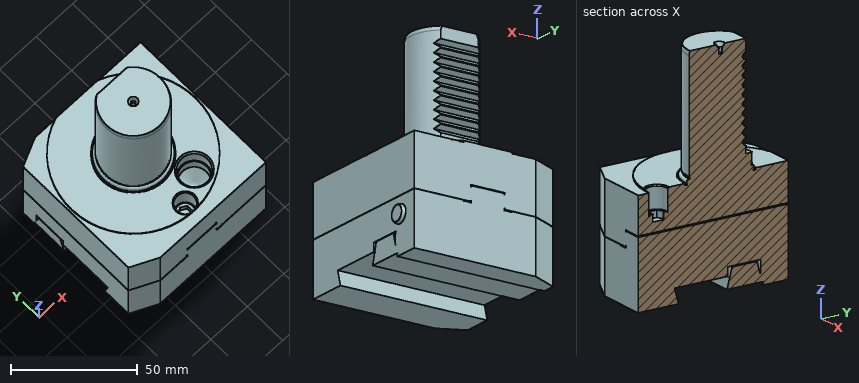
import cadquery as cq
import math


block_left, block_right = -35.0, 35.1
block_front, block_back = -39.0, 32.0
block_top = 49.4
corner_length = 12.1
corner_width = 5.7
block_length = block_right - block_left
block_width = block_back - block_front

disc_radius = 34.0
disc_top = 50.0

overall_height = 105
shank_radius = 15.0
shank_chamfer_height = 1.9
shank_chamfer_inset = 0.4
neck_radius = 14.6
neck_bottom = 48.3
neck_top = 52.3
flat_y = 12.1
flat_bottom = 56.8
tooth_count = 10
tooth_pitch = 4.0
tooth_depth = 1.8
lowest_tooth_z = 61.7

centre_radius = 2.1
centre_pilot_radius = 1.0
centre_cone_depth = (centre_radius - centre_pilot_radius) / math.tan(math.radians(30))
centre_pilot_depth = 4.2

recess_radius = 16.7
recess_depth = 0.8
ring_section_radius = 1.2
ring_outer_radius = 16.2
ring_z = 50.2

port_x, port_y = 12.4, -21.7
port_radius = 7.0
port_chamfer = 0.7
port_step_depth = 7.8
port_core_radius = 6.6
port_depth = 13.7
drill_half_angle = math.radians(60)

screw_y = -29.4
screw_hole_radius = 4.5
screw_chamfer = 0.5
screw_depth = 10.0
socket_across_flats = 5.0
socket_depth = 3.2

joint_z = 25.0
joint_gap = 0.1
tongue_width = 16.0
tongue_top = 31.8
tongue_gap = 0.3
tongue_corner = 0.4
tongue_relief_width = 3.4
tongue_relief_depth = 0.3

dovetail_slope = math.tan(math.radians(15))
channel_depth = 6.9
channel_front, channel_back = -19.6, 20.3
pocket_front, pocket_back = 3.7, 18.8
pocket_depth = 10.9
wedge_bottom, wedge_top = 1.5, 10.7
wedge_front = 2.9

button_y, button_z = 21.9, 17.3
button_radius = 4.1
button_tip_radius = 3.5
button_height = 1.6
button_rim_radius = 2.3


def bar_along_x(points):
    """Prism over the whole block length from a (y, z) outline."""
    return cq.Workplane("YZ", origin=(block_left, 0, 0)).polyline(points).close().extrude(block_length)


def bar_along_y(points):
    """Prism over the whole block width from an (x, z) outline."""
    return cq.Workplane("XZ", origin=(0, block_back, 0)).polyline(points).close().extrude(block_width)


def turned(points):
    """Solid of revolution about Z from an (r, z) outline."""
    return cq.Workplane("XZ").polyline(points).close().revolve(360, (0, 0, 0), (0, 1, 0))


def make_block():
    outline = [
        (block_left + corner_length, block_front),
        (block_right, block_front),
        (block_right, block_back),
        (block_left + corner_length, block_back),
        (block_left, block_back - corner_width),
        (block_left, block_front + corner_width),
    ]
    block = cq.Workplane("XY").polyline(outline).close().extrude(block_top)
    disc = cq.Workplane("XY").circle(disc_radius).extrude(disc_top)
    behind_block = cq.Workplane("XY").box(
        2 * disc_radius, disc_radius, 2 * disc_top, centered=(True, False, True)
    ).translate((0, block_back, 0))
    return block.union(disc.cut(behind_block))


def make_shank():
    shank = turned([
        (0, neck_bottom),
        (neck_radius, neck_bottom),
        (neck_radius, neck_top),
        (shank_radius, neck_top),
        (shank_radius, overall_height - shank_chamfer_height),
        (shank_radius - shank_chamfer_inset, overall_height),
        (0, overall_height),
    ])
    flat = cq.Workplane("XY").box(
        2 * shank_radius, shank_radius, overall_height, centered=(True, False, False)
    ).translate((0, flat_y, flat_bottom))
    shank = shank.cut(flat)
    for index in range(tooth_count):
        z = lowest_tooth_z + index * tooth_pitch
        shank = shank.cut(bar_along_x([
            (flat_y - tooth_depth, z),
            (flat_y, z + tooth_depth),
            (shank_radius, z + tooth_depth),
            (shank_radius, z - tooth_depth),
            (flat_y, z - tooth_depth),
        ]))
    return shank.cut(make_centre_drilling())


def make_centre_drilling():
    pilot_end = overall_height - centre_pilot_depth
    return turned([
        (0, overall_height),
        (centre_radius, overall_height),
        (centre_pilot_radius, overall_height - centre_cone_depth),
        (centre_pilot_radius, pilot_end),
        (0, pilot_end - centre_pilot_radius / math.tan(drill_half_angle)),
    ])


def make_ring():
    centre = ring_outer_radius - ring_section_radius
    section = cq.Workplane("XZ").center(centre, ring_z).circle(ring_section_radius)
    return section.revolve(360, (-centre, 0, 0), (-centre, 1, 0))


def make_ring_recess():
    floor = disc_top - recess_depth
    return cq.Workplane("XY", origin=(0, 0, floor)).circle(recess_radius).extrude(recess_depth)


def make_port():
    step = disc_top - port_step_depth
    shoulder = disc_top - port_depth
    point = shoulder - port_core_radius / math.tan(drill_half_angle)
    return turned([
        (0, disc_top),
        (port_radius + port_chamfer, disc_top),
        (port_radius, disc_top - port_chamfer),
        (port_radius, step),
        (port_core_radius, step),
        (port_core_radius, shoulder),
        (0, point),
    ]).translate((port_x, port_y, 0))


def make_screw_hole():
    screw_top = disc_top - screw_depth
    hole = turned([
        (0, disc_top),
        (screw_hole_radius + screw_chamfer, disc_top),
        (screw_hole_radius, disc_top - screw_chamfer),
        (screw_hole_radius, screw_top - screw_chamfer),
        (screw_hole_radius - screw_chamfer, screw_top),
        (0, screw_top),
    ])
    across_corners = socket_across_flats / math.cos(math.radians(30))
    socket = (
        cq.Workplane("XY")
        .polygon(6, across_corners)
        .extrude(-socket_depth)
        .rotate((0, 0, 0), (0, 0, 1), 30)
        .translate((0, 0, screw_top))
    )
    return hole.union(socket).translate((0, screw_y, 0))


def make_joint():
    """Clearances between the halves; they stay connected along the tongue sides."""
    half = tongue_width / 2
    crown = tongue_top + tongue_gap
    cuts = bar_along_y([
        (-half, tongue_top - tongue_corner),
        (-half, crown),
        (half, crown),
        (half, tongue_top - tongue_corner),
        (half - tongue_corner, tongue_top),
        (tongue_corner - half, tongue_top),
    ])
    for side, edge in ((-1, block_left), (1, block_right)):
        relief_end = half + tongue_relief_width
        cuts = cuts.union(bar_along_y([
            (edge, joint_z),
            (edge, joint_z + joint_gap),
            (side * (half + tongue_corner), joint_z + joint_gap),
            (side * half, joint_z + joint_gap + tongue_corner),
            (side * half, joint_z - tongue_relief_depth),
            (side * relief_end, joint_z - tongue_relief_depth),
            (side * relief_end, joint_z),
        ]))
    return cuts


def make_channel():
    """Dovetail channel with a deeper wedge pocket along its +Y side."""
    return bar_along_x([
        (channel_front, 0),
        (channel_front - channel_depth * dovetail_slope, channel_depth),
        (pocket_front, channel_depth),
        (pocket_front, pocket_depth),
        (pocket_back, pocket_depth),
        (pocket_back, (channel_back - pocket_back) / dovetail_slope),
        (channel_back, 0),
    ])


def make_wedge():
    """Clamping wedge resting against the sloped +Y wall of the channel."""
    taper = (wedge_top - wedge_bottom) * dovetail_slope
    wedge_back = channel_back - wedge_bottom * dovetail_slope
    return bar_along_x([
        (wedge_front, wedge_bottom),
        (wedge_front + taper, wedge_top),
        (wedge_back - taper, wedge_top),
        (wedge_back, wedge_bottom),
    ])


def make_button():
    """Low button with a bulging rim, turned about an axis along X."""
    button = (
        cq.Workplane("XY")
        .lineTo(0, button_radius)
        .radiusArc((button_height, button_tip_radius), button_rim_radius)
        .lineTo(button_height, 0)
        .close()
        .revolve(360, (0, 0, 0), (1, 0, 0))
    )
    return button.translate((block_right, button_y, button_z))


result = (
    make_block()
    .cut(make_ring_recess())
    .cut(make_port())
    .cut(make_screw_hole())
    .cut(make_joint())
    .cut(make_channel())
    .union(make_wedge())
    .union(make_shank())
    .union(make_ring())
    .union(make_button())
)